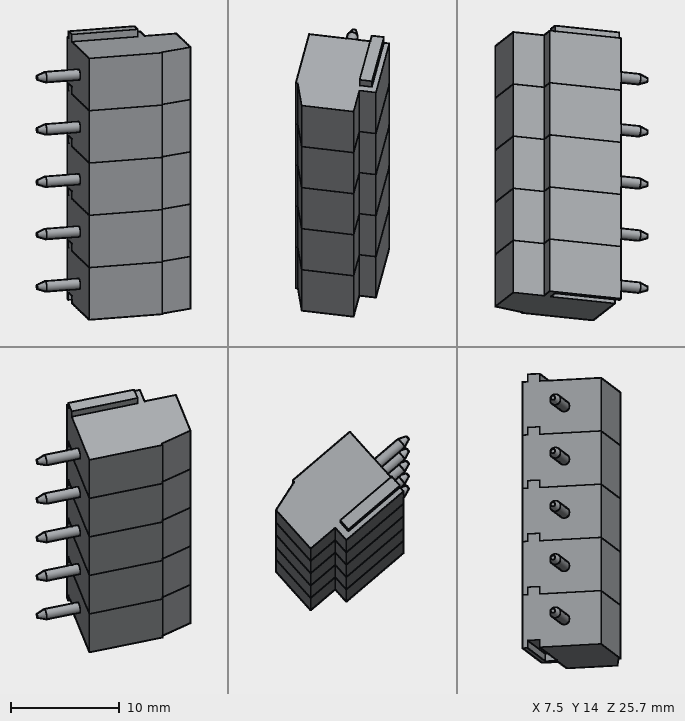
import cadquery as cq

module_count = 5
pitch = 5.0

width = 7.5
depth = 10.0
base_depth = 7.0
rear_left = 1.55
slope_top = 6.4
slope_foot = 7.3

tongue_left = 0.5
tongue_width = 1.15
tongue_length = 6.3
tongue_height = 0.7

pin_x = 4.0
pin_z = pitch / 2
pin_radius = 0.5
pin_length = 4.0
tip_length = 0.8
tip_radius = 0.2


def make_block():
    """Plain module body: a wide base with a narrower rear part sloped on one side."""
    outline = [
        (0, 0),
        (width, 0),
        (width, base_depth),
        (slope_foot, base_depth),
        (slope_top, depth),
        (rear_left, depth),
        (rear_left, base_depth),
        (0, base_depth),
    ]
    return cq.Workplane("XY").polyline(outline).close().extrude(pitch)


def make_tongue(bottom_z):
    """Bar with the shape shared by the tongue and the groove."""
    bar = cq.Workplane("XY").box(tongue_width, tongue_length, tongue_height, centered=False)
    return bar.translate((tongue_left, 0, bottom_z))


def make_pin():
    """Round pin with a tapered tip, revolved about its own axis."""
    half_profile = [
        (0, 0),
        (pin_radius, 0),
        (pin_radius, tip_length - pin_length),
        (tip_radius, -pin_length),
        (0, -pin_length),
    ]
    pin = cq.Workplane("XY").polyline(half_profile).close().revolve(360, (0, 0), (0, 1))
    return pin.translate((pin_x, 0, pin_z))


def make_module(bottom_z):
    """One complete module, with its pin, standing at the given height."""
    module = make_block().cut(make_tongue(0)).union(make_tongue(pitch)).union(make_pin())
    return module.translate((0, 0, bottom_z))


modules = [make_module(index * pitch) for index in range(module_count)]

result = cq.Compound.makeCompound([module.val() for module in modules])